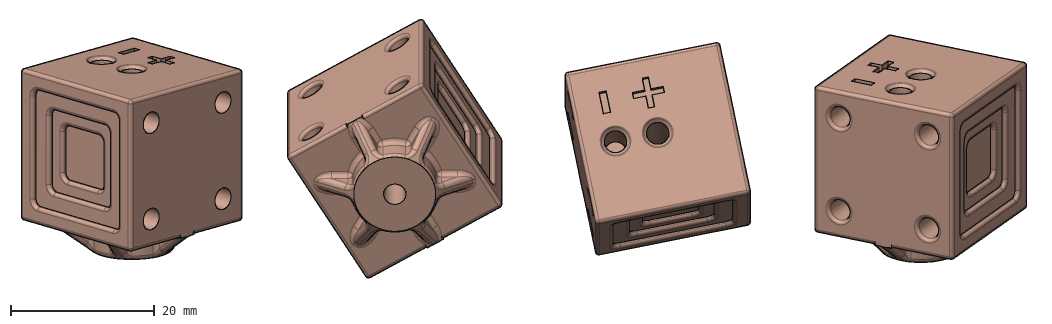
import cadquery as cq
import math

CUBE = 22.0
HALF = CUBE / 2
EDGE_ROUND = 0.5

BOSS_RADIUS = 6.0
BOSS_HEIGHT = 4.0
RIB_COUNT = 6
RIB_WIDTH = 2.0
RIB_REACH = HALF
SLOPE_FOOT_RADIUS = 5.7
RIB_ROUND = 0.75
TIP_PAD_WIDTH = 2.6

HOLE_DIAMETER = 3.1
MOUTH_ROUND = 0.5
CROSS_HOLE_OFFSET = 7.0
COUNTERSINK = 0.5
COUNTERSINK_ROUND = 0.2
BLIND_HOLE_X = -6.0
BLIND_HOLE_DEPTH = 8.0

STEP_SIZES = (17.0, 12.0, 8.0)
STEP_DEPTH = 0.7
STEP_CORNER_RADIUS = 1.0
STEP_RIM_ROUND = 0.5

MARK_DEPTH = 1.0
MINUS_X = -6.35
MINUS_Y = 5.7
MINUS_WIDTH = 1.0
MINUS_LENGTH = 3.1
PLUS_X = -0.12
PLUS_Y = 5.85
PLUS_SPAN = 4.35
PLUS_ARM_WIDTH = 0.87

TOLERANCE = 0.01


def make_cube():
    cube = cq.Workplane("XY").box(CUBE, CUBE, CUBE, centered=(True, True, False))
    return cube.edges().fillet(EDGE_ROUND)


def radius_of(edge):
    center = edge.Center()
    return math.hypot(center.x, center.y)


def is_vertical(edge):
    box = edge.BoundingBox()
    return max(box.xlen, box.ylen) < TOLERANCE


def lies_at(edge, height):
    box = edge.BoundingBox()
    return abs(box.zmin - height) < TOLERANCE and abs(box.zmax - height) < TOLERANCE


def fillet_where(solid, test, radius):
    edges = [edge for edge in solid.edges().vals() if test(edge)]
    return solid.newObject(edges).fillet(radius)


def make_star():
    """Boss with full-height ribs, filleted in the corners between them."""
    star = cq.Workplane("XY").circle(BOSS_RADIUS).extrude(-BOSS_HEIGHT)
    rib = (
        cq.Workplane("XY")
        .box(RIB_REACH, RIB_WIDTH, BOSS_HEIGHT, centered=(False, True, False))
        .translate((0, 0, -BOSS_HEIGHT))
    )
    for i in range(RIB_COUNT):
        star = star.union(rib.rotate((0, 0, 0), (0, 0, 1), i * 360 / RIB_COUNT))
    corner_limit = (BOSS_RADIUS + RIB_REACH) / 2
    return fillet_where(star, lambda e: is_vertical(e) and radius_of(e) < corner_limit, RIB_ROUND)


def make_ribbed_boss():
    """Star trimmed to a cone, rounded, and blended into the underside of the cube."""
    cone = (
        cq.Workplane("XZ")
        .polyline([(0, 0), (RIB_REACH, 0), (SLOPE_FOOT_RADIUS, -BOSS_HEIGHT), (0, -BOSS_HEIGHT)])
        .close()
        .revolve(360, (0, 0, 0), (0, 1, 0))
    )
    boss = make_star().intersect(cone)
    boss = fillet_where(
        boss,
        lambda e: not (is_vertical(e) or lies_at(e, 0) or lies_at(e, -BOSS_HEIGHT)),
        RIB_ROUND,
    )

    plate = cq.Workplane("XY").box(2 * CUBE, 2 * CUBE, EDGE_ROUND, centered=(True, True, False))
    boss = boss.union(plate)
    boss = fillet_where(boss, lambda e: lies_at(e, 0) and radius_of(e) < RIB_REACH + TOLERANCE, RIB_ROUND)

    below = cq.Workplane("XY").box(CUBE, CUBE, BOSS_HEIGHT, centered=(True, True, False))
    below = below.translate((0, 0, -BOSS_HEIGHT))
    tip_pad = cq.Workplane("XY").box(CUBE, TIP_PAD_WIDTH, EDGE_ROUND, centered=(True, True, False))
    return boss.intersect(below.union(tip_pad))


def cut_terminal_holes(part):
    """Through hole on the Z axis and blind hole beside it, with softened countersinks in the top face."""
    top = cq.Workplane("XY", origin=(0, 0, CUBE))
    radius = HOLE_DIAMETER / 2
    for x, depth in ((0, CUBE + BOSS_HEIGHT), (BLIND_HOLE_X, BLIND_HOLE_DEPTH)):
        bore = top.center(x, 0).circle(radius).extrude(-depth)
        mouth = top.center(x, 0).circle(radius + COUNTERSINK).extrude(-COUNTERSINK, taper=45)
        part = part.cut(bore).cut(mouth)
    return fillet_where(part, lambda e: lies_at(e, CUBE) and e.geomType() == "CIRCLE", COUNTERSINK_ROUND)


def cut_cross_holes(part):
    """Four holes through the cube along X, with rounded mouths on the -X face."""
    for y in (-CROSS_HOLE_OFFSET, CROSS_HOLE_OFFSET):
        for z in (HALF - CROSS_HOLE_OFFSET, HALF + CROSS_HOLE_OFFSET):
            face = cq.Workplane("YZ", origin=(-HALF, y, z))
            part = part.cut(face.circle(HOLE_DIAMETER / 2).extrude(CUBE))
    return part.faces("<X").edges("%CIRCLE").fillet(MOUTH_ROUND)


def cut_steps(part):
    for i, size in enumerate(STEP_SIZES):
        rim_y = -HALF + i * STEP_DEPTH
        pocket = (
            cq.Workplane("XZ", origin=(0, rim_y, HALF))
            .rect(size, size)
            .extrude(-STEP_DEPTH)
            .edges("|Y")
            .fillet(STEP_CORNER_RADIUS)
        )
        rim_box = cq.selectors.BoxSelector(
            (-size / 2 - TOLERANCE, rim_y - TOLERANCE, HALF - size / 2 - TOLERANCE),
            (size / 2 + TOLERANCE, rim_y + TOLERANCE, HALF + size / 2 + TOLERANCE),
            boundingbox=True,
        )
        part = part.cut(pocket).edges(rim_box).fillet(STEP_RIM_ROUND)
    return part


def cut_marks(part):
    top = cq.Workplane("XY", origin=(0, 0, CUBE))
    minus = top.center(MINUS_X, MINUS_Y).rect(MINUS_WIDTH, MINUS_LENGTH).extrude(-MARK_DEPTH)
    plus = top.center(PLUS_X, PLUS_Y)
    upright = plus.rect(PLUS_ARM_WIDTH, PLUS_SPAN).extrude(-MARK_DEPTH)
    crossbar = plus.rect(PLUS_SPAN, PLUS_ARM_WIDTH).extrude(-MARK_DEPTH)
    return part.cut(minus).cut(upright.union(crossbar))


cube = cut_cross_holes(cut_steps(make_cube()))
result = cut_marks(cut_terminal_holes(cube.union(make_ribbed_boss())))